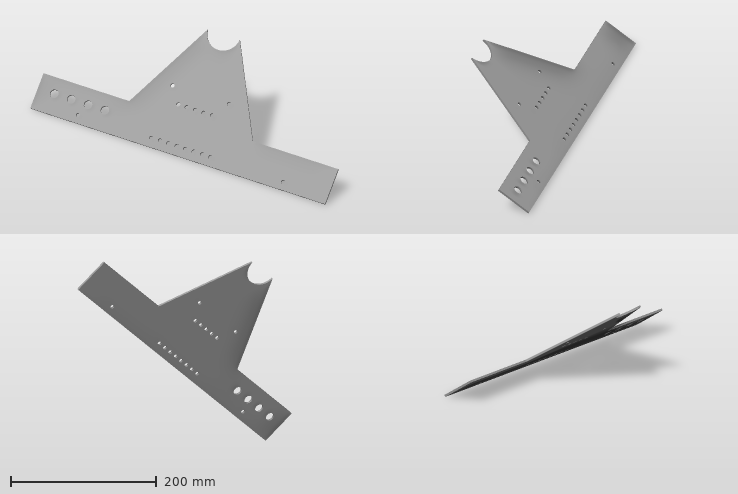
import cadquery as cq

bar_length = 444.5
bar_width = 52.0
plate_height = 180.5
thickness = 3.0

arm_half_base = 93.0
arm_half_tip = 24.0
notch_depth = 22.5

tilt = 32.5
yaw = 0.4

large_diameter = 12.0
small_diameter = 6.0
small_pitch = 12.7
large_pitch = 2 * small_pitch
large_count = 4
large_start_x = 25.0 - bar_length / 2
large_y = 29.5
lower_row_count = 8
lower_row_y = 13.0
upper_row_count = 5
upper_row_y = 68.5
arm_pair_half_spacing = 42.5
arm_pair_y = 91.0
bar_pair_half_spacing = 155.0
bar_pair_y = 11.5


def centred_row(count, pitch, y):
    """Hole centres evenly spaced about the plate's centreline."""
    first_x = -(count - 1) * pitch / 2
    return [(first_x + i * pitch, y) for i in range(count)]


def plate_blank():
    half = bar_length / 2
    return (
        cq.Workplane("XY")
        .moveTo(-half, 0)
        .lineTo(half, 0)
        .lineTo(half, bar_width)
        .lineTo(arm_half_base, bar_width)
        .lineTo(arm_half_tip, plate_height)
        .threePointArc((0, plate_height - notch_depth), (-arm_half_tip, plate_height))
        .lineTo(-arm_half_base, bar_width)
        .lineTo(-half, bar_width)
        .close()
        .extrude(thickness)
    )


def hole_cutters(centres, diameter):
    return cq.Workplane("XY").pushPoints(centres).circle(diameter / 2).extrude(thickness)


large_centres = [(large_start_x + i * large_pitch, large_y) for i in range(large_count)]
small_centres = (
    centred_row(lower_row_count, small_pitch, lower_row_y)
    + centred_row(upper_row_count, small_pitch, upper_row_y)
    + centred_row(2, 2 * arm_pair_half_spacing, arm_pair_y)
    + centred_row(2, 2 * bar_pair_half_spacing, bar_pair_y)
)

plate = plate_blank()
plate = plate.cut(hole_cutters(large_centres, large_diameter))
plate = plate.cut(hole_cutters(small_centres, small_diameter))

result = plate.rotate((0, 0, 0), (1, 0, 0), tilt).rotate((0, 0, 0), (0, 0, 1), yaw)